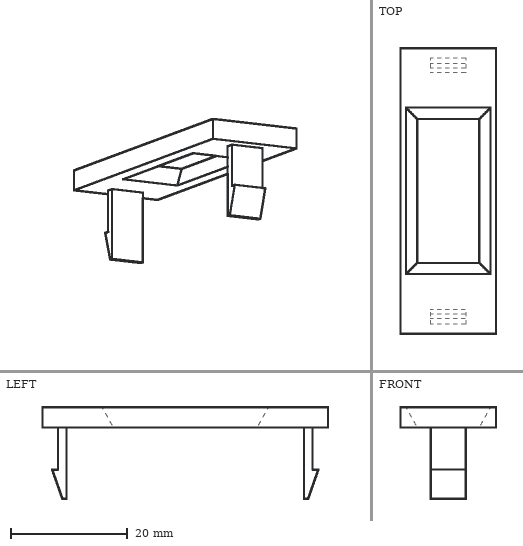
import cadquery as cq

PLATE_WIDTH = 16.4
PLATE_LENGTH = 48.9
PLATE_THICKNESS = 3.5

WINDOW_WIDTH = 10.6
WINDOW_LENGTH = 24.6
WINDOW_FLARE = 1.95

TOTAL_HEIGHT = 15.7
CLIP_DEPTH = TOTAL_HEIGHT - PLATE_THICKNESS
CLIP_WIDTH = 6.0
CLIP_INNER_Y = 20.3
ARM_THICKNESS = 1.5
BARB_HEIGHT = 5.0
BARB_OVERHANG = 1.0
TIP_THICKNESS = 0.75


def make_plate():
    return cq.Workplane("XY").box(
        PLATE_WIDTH, PLATE_LENGTH, PLATE_THICKNESS, centered=(True, True, False)
    )


def make_window():
    """Tapered cutter for the window, widest at the top face."""
    return (
        cq.Workplane("XY")
        .rect(WINDOW_WIDTH, WINDOW_LENGTH)
        .workplane(offset=PLATE_THICKNESS)
        .rect(WINDOW_WIDTH + 2 * WINDOW_FLARE, WINDOW_LENGTH + 2 * WINDOW_FLARE)
        .loft(ruled=True)
    )


def make_clip():
    """Snap clip at the +Y end, with its barb facing outwards."""
    arm_outer_y = CLIP_INNER_Y + ARM_THICKNESS
    barb_top_z = BARB_HEIGHT - CLIP_DEPTH
    profile = [
        (CLIP_INNER_Y, 0),
        (arm_outer_y, 0),
        (arm_outer_y, barb_top_z),
        (arm_outer_y + BARB_OVERHANG, barb_top_z),
        (CLIP_INNER_Y + TIP_THICKNESS, -CLIP_DEPTH),
        (CLIP_INNER_Y, -CLIP_DEPTH),
    ]
    return cq.Workplane("YZ").polyline(profile).close().extrude(CLIP_WIDTH / 2, both=True)


clip = make_clip()
result = make_plate().cut(make_window()).union(clip).union(clip.mirror("XZ"))